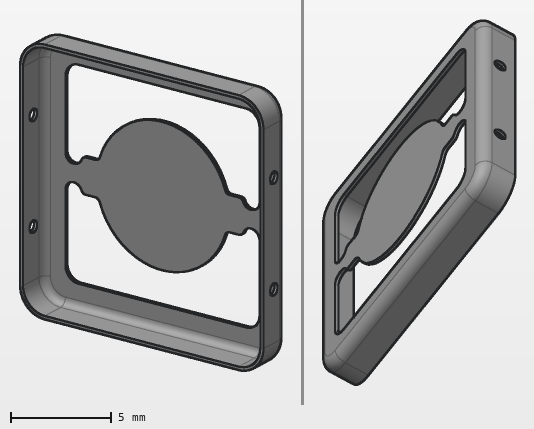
import cadquery as cq
import math

side = 14.8
depth = 2.0
wall = 0.19
corner_radius = 1.51
back_edge_radius = 0.6

window_half = side / 2 - corner_radius
window_corner_radius = 0.8
disc_radius = 4.0
arm_half_width = 1.0
relief_radius = 0.5
blend_radius = 0.3

hole_diameter = 0.65
hole_half_spacing = 3.0
hole_from_rim = 0.9

back_y = depth / 2
rim_y = -depth / 2


def rounded_tray(size, start_y, length, upright_radius, edge_radius):
    """Square block running from start_y towards -Y, rounded around its +Y face."""
    block = cq.Workplane("XZ", origin=(0, start_y, 0)).rect(size, size).extrude(length)
    return block.edges("|Y").fillet(upright_radius).faces(">Y").edges().fillet(edge_radius)


def point_at(center, radius, angle):
    return (center[0] + radius * math.cos(angle), center[1] + radius * math.sin(angle))


def direction(start, end):
    return math.atan2(end[1] - start[1], end[0] - start[0])


def half_window():
    """Cutter for the opening above the arms, symmetric about X = 0."""
    up_angle = math.pi / 2
    relief_center = (window_half - relief_radius, arm_half_width)

    shoulder_z = arm_half_width - blend_radius
    shoulder_reach = math.sqrt((relief_radius + blend_radius) ** 2 - blend_radius**2)
    shoulder_center = (relief_center[0] - shoulder_reach, shoulder_z)
    relief_end_angle = direction(relief_center, shoulder_center)
    relief_end = point_at(relief_center, relief_radius, relief_end_angle)
    shoulder_mid_angle = (relief_end_angle + math.pi + up_angle) / 2
    shoulder_mid = point_at(shoulder_center, blend_radius, shoulder_mid_angle)
    shoulder_end = (shoulder_center[0], arm_half_width)

    root_z = arm_half_width + blend_radius
    root_x = math.sqrt((disc_radius + blend_radius) ** 2 - root_z**2)
    root_center = (root_x, root_z)
    disc_angle = direction((0, 0), root_center)
    root_start = (root_x, arm_half_width)
    root_mid_angle = (disc_angle - math.pi - up_angle) / 2
    root_mid = point_at(root_center, blend_radius, root_mid_angle)
    disc_mid = point_at((0, 0), disc_radius, (disc_angle + up_angle) / 2)
    root_end = point_at((0, 0), disc_radius, disc_angle)

    corner_start = window_half - window_corner_radius
    corner_mid = point_at((corner_start, corner_start), window_corner_radius, math.pi / 4)
    relief_mid = point_at(relief_center, relief_radius, relief_end_angle / 2)

    half = (
        cq.Workplane("XZ", origin=(0, back_y, 0))
        .moveTo(0, window_half)
        .lineTo(corner_start, window_half)
        .threePointArc(corner_mid, (window_half, corner_start))
        .lineTo(window_half, arm_half_width)
        .threePointArc(relief_mid, relief_end)
        .threePointArc(shoulder_mid, shoulder_end)
        .lineTo(*root_start)
        .threePointArc(root_mid, root_end)
        .threePointArc(disc_mid, (0, disc_radius))
        .close()
        .extrude(depth)
    )
    return half.union(half.mirror("YZ"))


def side_holes():
    return (
        cq.Workplane("YZ", origin=(0, rim_y + hole_from_rim, 0))
        .pushPoints([(0, -hole_half_spacing), (0, hole_half_spacing)])
        .circle(hole_diameter / 2)
        .extrude(side, both=True)
    )


outer = rounded_tray(side, back_y, depth, corner_radius, back_edge_radius)
cavity = rounded_tray(
    side - 2 * wall,
    back_y - wall,
    depth - wall,
    corner_radius - wall,
    back_edge_radius - wall,
)
upper_window = half_window()
lower_window = upper_window.mirror("XY")

result = outer.cut(cavity).cut(upper_window).cut(lower_window).cut(side_holes())